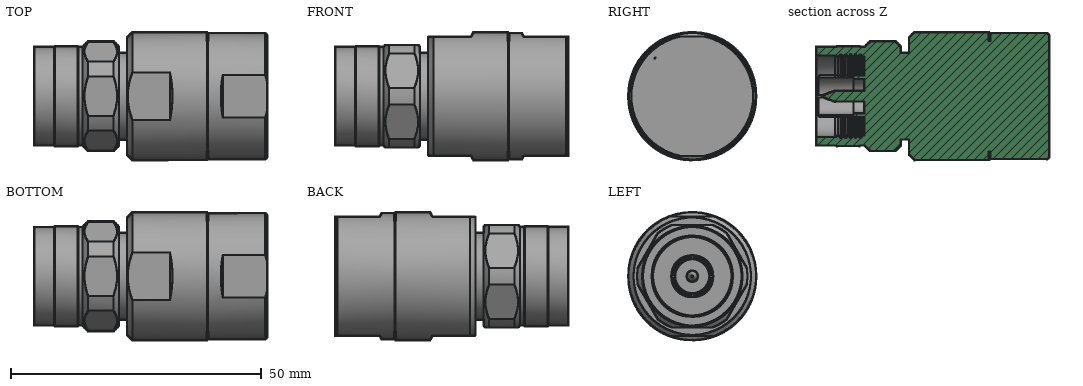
import cadquery as cq
import math

LENGTH = 46.6

CUT_CLEARANCE = 0.45

SLEEVE_RADIUS = 9.9
RIM_CHAMFER = 0.05
BAND_HEIGHT = 0.15
BAND_START = 4.0
BAND_END = 8.85

HEX_START = 9.7
HEX_END = 16.95
HEX_ACROSS_FLATS = 20.5
HEX_CORNER_RADIUS = 11.0
HEX_CHAMFER = 1.1

NECK_RADIUS = 8.7

BODY_START = 18.55
BODY_END = 34.5
BODY_DIAMETER = 25.6
BODY_RADIUS = BODY_DIAMETER / 2
BODY_CHAMFER = 1.05
GROOVE_RADIUS = 11.1
NUT_START = 34.75
NUT_RADIUS = 12.65
NUT_CHAMFER = 0.45

FLAT_HEIGHT = 11.9
BODY_FLAT_END = 27.15
NUT_FLAT_START = 37.7
FLAT_RUNOUT_ANGLE = 30.0

BORE_RADIUS = 8.1
BORE_DEPTH = 3.8
CREST_RADIUS = 7.85
LEAD_IN_LENGTH = 0.55
THREAD_PITCH = 1.0
THREAD_COUNT = 5
THREAD_ROOT_RADIUS = 8.35
CREST_WIDTH = 0.15
SOCKET_DEPTH = 9.6

TUBE_START = 0.5
TUBE_BORE_RADIUS = 3.75
TUBE_TIP_RADIUS = 3.8
TUBE_RADIUS = 4.2
TUBE_TIP_LENGTH = 0.25
TUBE_STEP_RADIUS = 3.4
TUBE_STEP_START = 7.45
SLOT_WIDTH = 0.4

PIN_START = 1.2
PIN_TIP_RADIUS = 0.15
PIN_SHOULDER_RADIUS = 0.9
PIN_RADIUS = 1.1
PIN_POINT_LENGTH = 1.85
PIN_SHOULDER_LENGTH = 0.7


def revolve(profile):
    """Turn a closed profile of (x, radius) points around the X axis."""
    return cq.Workplane("XY").polyline(profile).close().revolve(360, (0, 0, 0), (1, 0, 0))


def outer_barrel():
    return revolve([
        (0, 0),
        (0, SLEEVE_RADIUS - RIM_CHAMFER),
        (RIM_CHAMFER, SLEEVE_RADIUS),
        (BAND_START, SLEEVE_RADIUS),
        (BAND_START + BAND_HEIGHT, SLEEVE_RADIUS + BAND_HEIGHT),
        (BAND_END - BAND_HEIGHT, SLEEVE_RADIUS + BAND_HEIGHT),
        (BAND_END, SLEEVE_RADIUS),
        (HEX_START, SLEEVE_RADIUS),
        (HEX_START, NECK_RADIUS),
        (BODY_START, NECK_RADIUS),
        (BODY_START, BODY_RADIUS - BODY_CHAMFER),
        (BODY_START + BODY_CHAMFER, BODY_RADIUS),
        (BODY_END, BODY_RADIUS),
        (BODY_END, GROOVE_RADIUS),
        (NUT_START, GROOVE_RADIUS),
        (NUT_START, NUT_RADIUS),
        (LENGTH - NUT_CHAMFER, NUT_RADIUS),
        (LENGTH, NUT_RADIUS - NUT_CHAMFER),
        (LENGTH, 0),
    ])


def coupling_hexagon():
    """Hexagon with flats facing +Z and -Z, trimmed by a chamfered cylinder."""
    across_corners = HEX_ACROSS_FLATS / math.cos(math.radians(30))
    hexagon = (
        cq.Workplane("YZ", origin=(HEX_START, 0, 0))
        .polygon(6, across_corners)
        .extrude(HEX_END - HEX_START)
    )
    blank = (
        cq.Workplane("YZ", origin=(HEX_START, 0, 0))
        .circle(HEX_CORNER_RADIUS)
        .extrude(HEX_END - HEX_START)
        .edges()
        .chamfer(HEX_CHAMFER)
    )
    return hexagon.intersect(blank)


def flat_cutter(open_end, flat_end):
    """Material above the +Z flat, from open_end to the sloped run-out at flat_end."""
    height = BODY_RADIUS - FLAT_HEIGHT + CUT_CLEARANCE
    runout = height * math.tan(math.radians(FLAT_RUNOUT_ANGLE))
    direction = math.copysign(1, flat_end - open_end)
    return (
        cq.Workplane("XZ")
        .polyline([
            (open_end, FLAT_HEIGHT),
            (flat_end, FLAT_HEIGHT),
            (flat_end + direction * runout, FLAT_HEIGHT + height),
            (open_end, FLAT_HEIGHT + height),
        ])
        .close()
        .extrude(BODY_RADIUS, both=True)
    )


def socket():
    """Bore, lead-in cone and a run of V grooves down to a flat floor."""
    profile = [
        (0, 0),
        (0, BORE_RADIUS),
        (BORE_DEPTH, BORE_RADIUS),
        (BORE_DEPTH + LEAD_IN_LENGTH, CREST_RADIUS),
    ]
    first_groove = BORE_DEPTH + LEAD_IN_LENGTH + CREST_WIDTH
    groove_width = THREAD_PITCH - CREST_WIDTH
    for i in range(THREAD_COUNT):
        groove_start = first_groove + i * THREAD_PITCH
        profile += [
            (groove_start, CREST_RADIUS),
            (groove_start + groove_width / 2, THREAD_ROOT_RADIUS),
            (groove_start + groove_width, CREST_RADIUS),
        ]
    profile += [(SOCKET_DEPTH, CREST_RADIUS), (SOCKET_DEPTH, 0)]
    return revolve(profile)


def contact_tube():
    tube = revolve([
        (TUBE_START, TUBE_BORE_RADIUS),
        (TUBE_START, TUBE_TIP_RADIUS),
        (TUBE_START + TUBE_TIP_LENGTH, TUBE_RADIUS),
        (SOCKET_DEPTH, TUBE_RADIUS),
        (SOCKET_DEPTH, TUBE_STEP_RADIUS),
        (TUBE_STEP_START, TUBE_STEP_RADIUS),
        (TUBE_STEP_START, TUBE_BORE_RADIUS),
    ])
    slot_span = 2 * (TUBE_RADIUS + CUT_CLEARANCE)
    for slot_size in [(slot_span, SLOT_WIDTH), (SLOT_WIDTH, slot_span)]:
        tube = tube.cut(cq.Workplane("YZ").rect(*slot_size).extrude(TUBE_STEP_START))
    return tube


def centre_pin():
    shoulder_start = PIN_START + PIN_POINT_LENGTH
    return revolve([
        (PIN_START, 0),
        (PIN_START, PIN_TIP_RADIUS),
        (shoulder_start, PIN_SHOULDER_RADIUS),
        (shoulder_start + PIN_SHOULDER_LENGTH, PIN_RADIUS),
        (SOCKET_DEPTH, PIN_RADIUS),
        (SOCKET_DEPTH, 0),
    ])


result = outer_barrel().union(coupling_hexagon())

for cutter in [flat_cutter(BODY_START, BODY_FLAT_END), flat_cutter(LENGTH, NUT_FLAT_START)]:
    result = result.cut(cutter).cut(cutter.mirror("XY"))

result = result.cut(socket()).union(contact_tube()).union(centre_pin())